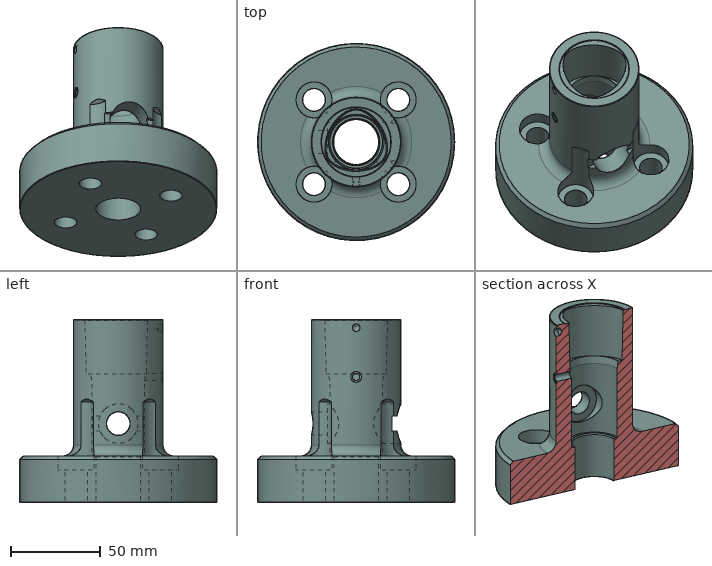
import cadquery as cq
import math

flange_diameter = 110.0
flange_height = 26.0
flange_top_chamfer = 2.0
flange_bottom_chamfer = 0.3
total_height = 102.0
tube_diameter = 50.0
tube_top_chamfer = 0.3
tube_root_radius = 6.0

screw_spacing = 47.0
screw_hole_diameter = 12.55
screw_head_diameter = 20.0
screw_head_floor_z = 18.0
screw_head_wall_top_z = 55.9

socket_mean_diameter = 35.0
socket_eccentricity = 1.12
socket_taper = 1 / 20
socket_curve_points = 36
socket_end_z = 71.6
mouth_diameter = 38.6
mouth_depth = 0.4
mouth_chamfer = 0.3

upper_bore_diameter = 31.0
narrow_bore_diameter = 29.3
lower_bore_diameter = 25.03
narrow_bore_top_z = 67.4
lower_bore_top_z = flange_height
lower_bore_chamfer = 0.7

cross_hole_z = 44.0
cam_bore_diameter = 22.01
cam_bore_end_x = -16.0
pivot_bore_diameter = 13.01
cam_slot_height = 8.2
cam_slot_floor_x = 20.0

blind_hole_diameter = 4.2
blind_hole_z = 97.5
blind_hole_depth = 2.5
drill_point_angle = 118.0
step_hole_z = 70.0
step_hole_diameter = 4.0
step_hole_head_diameter = 6.0
step_hole_head_depth = 0.5

tube_radius = tube_diameter / 2
mouth_floor_z = total_height - mouth_depth


def cylinder_z(diameter, bottom_z, top_z):
    return cq.Workplane("XY").workplane(offset=bottom_z).circle(diameter / 2).extrude(top_z - bottom_z)


def cylinder_along_x(diameter, start_x, end_x):
    """Cylinder along X at the height of the cross holes."""
    start = cq.Workplane("YZ", origin=(start_x, 0, cross_hole_z))
    return start.circle(diameter / 2).extrude(end_x - start_x)


def cylinder_from_front(diameter, height_z, depth):
    """Cylinder starting on the -Y line of the tube and running towards +Y."""
    front = cq.Workplane("XZ", origin=(0, -tube_radius, height_z))
    return front.circle(diameter / 2).extrude(-depth)


def make_body():
    """Flange and tube as one revolved outline."""
    flange_radius = flange_diameter / 2
    root_outer = tube_radius + tube_root_radius
    root_top_z = flange_height + tube_root_radius
    outline = (
        cq.Workplane("XZ")
        .lineTo(flange_radius - flange_bottom_chamfer, 0)
        .lineTo(flange_radius, flange_bottom_chamfer)
        .lineTo(flange_radius, flange_height - flange_top_chamfer)
        .lineTo(flange_radius - flange_top_chamfer, flange_height)
        .lineTo(root_outer, flange_height)
        .radiusArc((tube_radius, root_top_z), tube_root_radius)
        .lineTo(tube_radius, total_height - tube_top_chamfer)
        .lineTo(tube_radius - tube_top_chamfer, total_height)
        .lineTo(0, total_height)
        .close()
    )
    return outline.revolve(360, (0, 0, 0), (0, 1, 0))


def make_screw_cutter():
    """Clearance hole and head recess, ending in a 45 degree cone that runs out of the tube."""
    head_radius = screw_head_diameter / 2
    hole_radius = screw_hole_diameter / 2
    outline = (
        cq.Workplane("XZ")
        .lineTo(hole_radius, 0)
        .lineTo(hole_radius, screw_head_floor_z)
        .lineTo(head_radius, screw_head_floor_z)
        .lineTo(head_radius, screw_head_wall_top_z)
        .lineTo(0, screw_head_wall_top_z + head_radius)
        .close()
    )
    return outline.revolve(360, (0, 0, 0), (0, 1, 0))


def polygon_point(mean_diameter, angle):
    """Point on the three-lobed polygon, which has one lobe on +Y and one flat on -Y."""
    along_flat = (
        mean_diameter / 2 * math.cos(angle)
        - 2 * socket_eccentricity * math.cos(2 * angle)
        + socket_eccentricity * math.cos(4 * angle)
    )
    across_flat = (
        mean_diameter / 2 * math.sin(angle)
        + 2 * socket_eccentricity * math.sin(2 * angle)
        + socket_eccentricity * math.sin(4 * angle)
    )
    return across_flat, -along_flat


def polygon_wire(z):
    mean_diameter = socket_mean_diameter - socket_taper * (mouth_floor_z - z)
    points = []
    for index in range(socket_curve_points):
        x, y = polygon_point(mean_diameter, 2 * math.pi * index / socket_curve_points)
        points.append(cq.Vector(x, y, z))
    return cq.Wire.assembleEdges([cq.Edge.makeSpline(points, periodic=True)])


def make_socket_cutter():
    """Tapered polygon with its shallow round mouth."""
    polygon = cq.Solid.makeLoft([polygon_wire(socket_end_z), polygon_wire(mouth_floor_z)])
    mouth = cylinder_z(mouth_diameter, mouth_floor_z, total_height)
    mouth_top_radius = mouth_diameter / 2 + mouth_chamfer
    mouth_bevel = cq.Solid.makeCone(
        mouth_diameter / 2,
        mouth_top_radius,
        mouth_chamfer,
        pnt=cq.Vector(0, 0, total_height - mouth_chamfer),
    )
    return mouth.union(cq.Workplane(mouth_bevel)).union(cq.Workplane(polygon))


def make_bore_cutter():
    """Round bore from the underside up to the socket, with a tapered lead-in below the socket."""
    upper_radius = upper_bore_diameter / 2
    narrow_radius = narrow_bore_diameter / 2
    lower_radius = lower_bore_diameter / 2
    outline = (
        cq.Workplane("XZ")
        .lineTo(lower_radius, 0)
        .lineTo(lower_radius, lower_bore_top_z - lower_bore_chamfer)
        .lineTo(lower_radius + lower_bore_chamfer, lower_bore_top_z)
        .lineTo(narrow_radius, lower_bore_top_z)
        .lineTo(narrow_radius, narrow_bore_top_z)
        .lineTo(upper_radius, socket_end_z)
        .lineTo(0, socket_end_z)
        .close()
    )
    return outline.revolve(360, (0, 0, 0), (0, 1, 0))


def make_cam_slot_cutter():
    """Flat-bottomed slot across the +X side of the tube."""
    slot_depth = tube_radius - cam_slot_floor_x
    return cq.Workplane("XY").box(slot_depth, tube_diameter, cam_slot_height).translate(
        (cam_slot_floor_x + slot_depth / 2, 0, cross_hole_z)
    )


def make_blind_hole_cutter():
    """Drilled hole with a conical bottom."""
    radius = blind_hole_diameter / 2
    point_length = radius / math.tan(math.radians(drill_point_angle / 2))
    outline = (
        cq.Workplane("XY")
        .lineTo(radius, 0)
        .lineTo(radius, blind_hole_depth)
        .lineTo(0, blind_hole_depth + point_length)
        .close()
    )
    drill = outline.revolve(360, (0, 0, 0), (0, 1, 0))
    return drill.translate((0, -tube_radius, blind_hole_z))


result = make_body()

screw_cutter = make_screw_cutter()
for side_x in (-1, 1):
    for side_y in (-1, 1):
        position = (side_x * screw_spacing / 2, side_y * screw_spacing / 2, 0)
        result = result.cut(screw_cutter.translate(position))

result = result.cut(make_bore_cutter())
result = result.cut(make_socket_cutter())

result = result.cut(cylinder_along_x(cam_bore_diameter, cam_bore_end_x, tube_radius))
result = result.cut(cylinder_along_x(pivot_bore_diameter, -tube_radius, 0))
result = result.cut(make_cam_slot_cutter())

result = result.cut(make_blind_hole_cutter())
result = result.cut(cylinder_from_front(step_hole_diameter, step_hole_z, tube_radius))
result = result.cut(cylinder_from_front(step_hole_head_diameter, step_hole_z, step_hole_head_depth))